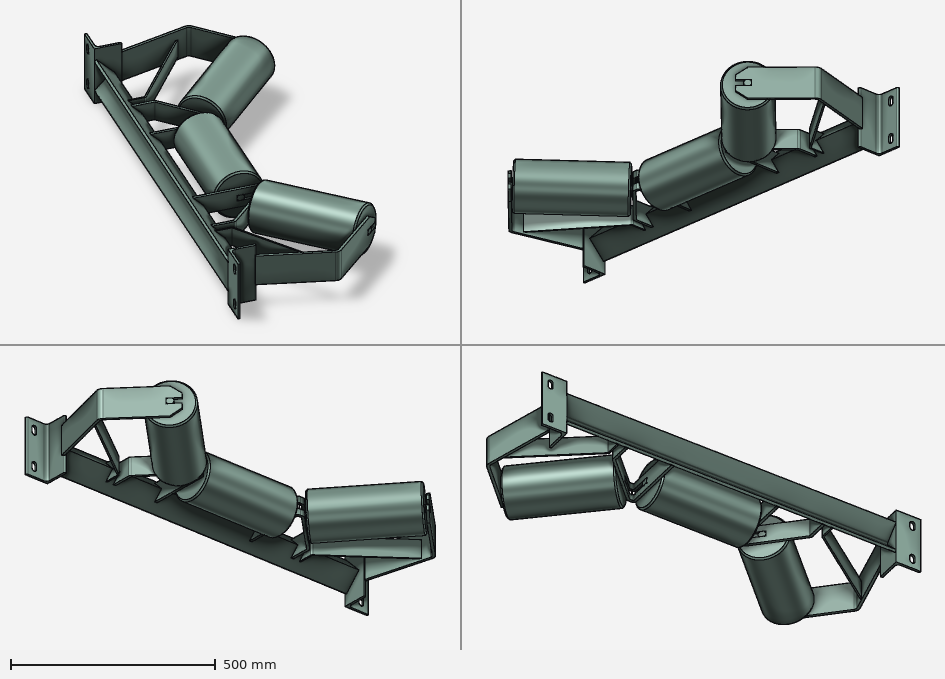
import cadquery as cq
import math


total_length = 1100.0

foot_height = 160.0
foot_leg = 72.0
foot_thickness = 7.0
foot_root_radius = 10.0
foot_toe_radius = 3.0
bolt_slot_length = 26.0
bolt_slot_width = 14.0
bolt_slot_z = 51.0
bolt_slot_inset = 24.0

beam_half_length = total_length / 2 - foot_leg
beam_leg = 67.0
beam_thickness = 8.0
beam_root_radius = 7.0
beam_corner_y = (beam_leg + beam_thickness) / math.sqrt(2)

roller_diameter = 133.0
roller_length = 288.0
roller_chamfer = 4.0
shaft_diameter = 20.0
shaft_flat_width = 15.0
center_roller_y = 151.0
side_roller_x = 308.0
side_roller_y = 280.0
side_roller_z = 5.0
trough_angle = 45.0
forward_tilt = 2.0

plate_thickness = 8.0
roller_gap = 4.0
plate_offset = roller_length / 2 + roller_gap + plate_thickness / 2
shaft_half_length = plate_offset + plate_thickness / 2
saddle_width = 52.0
saddle_bend_radius = 5.0
saddle_top_y = 204.0
saddle_leg_x = 286.0
saddle_slot_reach = 66.0
arm_width = 84.0
arm_z = 10.0
arm_bend_radius = 14.0
arm_foot_y = 68.0
arm_knee_y = 266.0
arm_lean = 14.6
arm_tip_past_shaft = 30.0
arm_tip_chamfer_length = 30.0
arm_tip_chamfer_height = 21.0
strut_thickness = 4.0
strut_width = 52.0
strut_bend_radius = 4.0
strut_leg_x = 311.0
strut_bend_y = 72.0
strut_top_y = 234.0

axis_x = math.cos(math.radians(trough_angle))
axis_y = math.sin(math.radians(trough_angle))
outer_seat_x = side_roller_x + plate_offset * axis_x
outer_seat_y = side_roller_y + plate_offset * axis_y
inner_seat_x = side_roller_x - plate_offset * axis_x
inner_seat_y = side_roller_y - plate_offset * axis_y


def place_center(body):
    """Move a body from the roller's own axes to the center roller."""
    return body.translate((0, center_roller_y, 0))


def place_side(body):
    """Move a body from the roller's own axes to the +X side roller."""
    tilted = body.rotate((0, 0, 0), (0, 1, 0), -forward_tilt)
    troughed = tilted.rotate((0, 0, 0), (0, 0, 1), trough_angle)
    return troughed.translate((side_roller_x, side_roller_y, side_roller_z))


def mirrored(body):
    return body.mirror("YZ")


def make_roller():
    """Roller along X with chamfered rims and a bore for its shaft."""
    start = cq.Workplane("YZ").workplane(offset=-roller_length / 2)
    drum = start.circle(roller_diameter / 2).extrude(roller_length)
    drum = drum.faces("<X or >X").chamfer(roller_chamfer)
    bore = start.circle(shaft_diameter / 2).extrude(roller_length)
    return drum.cut(bore)


def make_shaft():
    """Round shaft along X with two flats on each end that sticks out of the roller."""
    start = cq.Workplane("YZ").workplane(offset=-shaft_half_length)
    shaft = start.circle(shaft_diameter / 2).extrude(2 * shaft_half_length)
    flat_end_length = shaft_half_length - roller_length / 2
    end_block = cq.Workplane().box(flat_end_length, shaft_diameter, shaft_diameter)
    flat_end = cq.Workplane().box(flat_end_length, shaft_diameter, shaft_flat_width)
    waste = end_block.cut(flat_end)
    for side in (-1, 1):
        end_x = side * (shaft_half_length - flat_end_length / 2)
        shaft = shaft.cut(waste.translate((end_x, 0, 0)))
    return shaft


def make_shaft_slot(end, reach):
    """Cutter for the open slot that holds one shaft end, in the roller's own axes."""
    slot = cq.Workplane().box(
        2 * plate_thickness, shaft_diameter / 2 + reach, shaft_flat_width, centered=(True, False, True)
    )
    return slot.translate((end * plate_offset, -shaft_diameter / 2, 0))


def bent_plate(points, thickness, width, bend_radius, center_z=0.0):
    """Plate of even thickness that follows a bent center line and stands `width` tall in Z."""
    line = cq.Wire.makePolygon([cq.Vector(x, y, center_z) for x, y in points])
    line = line.fillet2D(bend_radius, line.Vertices()[1:-1])
    start = cq.Vector(*points[0], center_z)
    along = cq.Vector(*points[1], center_z) - start
    section = cq.Plane(origin=start, xDir=cq.Vector(0, 0, 1), normal=along)
    return cq.Workplane(section).rect(width, thickness).sweep(cq.Workplane(line))


def make_beam():
    """Equal angle with a rounded root, its corner pointing toward +Y."""
    angle = (
        cq.Workplane("YZ")
        .polyline(
            [
                (0, 0),
                (-beam_leg, 0),
                (-beam_leg, -beam_thickness),
                (-beam_thickness, -beam_thickness),
                (-beam_thickness, -beam_leg),
                (0, -beam_leg),
            ]
        )
        .close()
        .extrude(beam_half_length, both=True)
    )
    root = cq.selectors.NearestToPointSelector((0, -beam_thickness, -beam_thickness))
    angle = angle.edges(root).fillet(beam_root_radius)
    return angle.rotate((0, 0, 0), (1, 0, 0), -45).translate((0, beam_corner_y, 0))


def make_beam_wedge():
    """Solid wedge inside the beam's outer faces, used to trim the plates that stand on it."""
    return (
        cq.Workplane("YZ")
        .polyline([(beam_corner_y, 0), (0, beam_corner_y), (0, -beam_corner_y)])
        .close()
        .extrude(beam_half_length, both=True)
    )


def make_saddle():
    """Folded inner bracket: holds the center roller with one leg and a side roller with the other."""
    leg_foot_y = beam_corner_y - saddle_width / 2
    slope = axis_x / axis_y
    saddle = bent_plate(
        [
            (plate_offset, leg_foot_y),
            (plate_offset, saddle_top_y),
            (inner_seat_x - (saddle_top_y - inner_seat_y) / slope, saddle_top_y),
            (saddle_leg_x, inner_seat_y - (saddle_leg_x - inner_seat_x) * slope),
            (saddle_leg_x, leg_foot_y),
        ],
        plate_thickness,
        saddle_width,
        saddle_bend_radius,
    )
    saddle = saddle.cut(place_center(make_shaft_slot(1, saddle_slot_reach)))
    saddle = saddle.cut(place_side(make_shaft_slot(-1, saddle_slot_reach)))
    return saddle.cut(make_beam_wedge())


def make_foot():
    """L-shaped end foot with a rounded root, rounded toes and two bolt slots."""
    foot_inner_x = beam_half_length
    foot = (
        cq.Workplane("XY")
        .polyline(
            [
                (foot_inner_x, 0),
                (total_length / 2, 0),
                (total_length / 2, foot_thickness),
                (foot_inner_x + foot_thickness, foot_thickness),
                (foot_inner_x + foot_thickness, foot_leg),
                (foot_inner_x, foot_leg),
            ]
        )
        .close()
        .extrude(foot_height / 2, both=True)
    )
    root = cq.selectors.NearestToPointSelector((foot_inner_x + foot_thickness, foot_thickness, 0))
    foot = foot.edges(root).fillet(foot_root_radius)
    for toe in ((total_length / 2, foot_thickness, 0), (foot_inner_x + foot_thickness, foot_leg, 0)):
        foot = foot.edges(cq.selectors.NearestToPointSelector(toe)).fillet(foot_toe_radius)
    slots = (
        cq.Workplane("XZ")
        .pushPoints([(total_length / 2 - bolt_slot_inset, z) for z in (-bolt_slot_z, bolt_slot_z)])
        .slot2D(bolt_slot_length, bolt_slot_width, 90)
        .extrude(2 * foot_thickness, both=True)
    )
    return foot.cut(slots)


arm_knee_x = outer_seat_x + (outer_seat_y - arm_knee_y) * axis_y / axis_x
arm_tip_x = outer_seat_x - arm_tip_past_shaft * axis_y
arm_tip_y = outer_seat_y + arm_tip_past_shaft * axis_x


def arm_leg_x(y):
    """X of the leaning leg's center line at height y."""
    return arm_knee_x - (arm_knee_y - y) * math.tan(math.radians(arm_lean))


def make_arm():
    """Outer bracket: leaning leg, knee, and an upper part with a slotted, chamfered tip."""
    arm = bent_plate(
        [(arm_leg_x(arm_foot_y), arm_foot_y), (arm_knee_x, arm_knee_y), (arm_tip_x, arm_tip_y)],
        plate_thickness,
        arm_width,
        arm_bend_radius,
        arm_z,
    )
    half_width = arm_width / 2
    tip_plane = cq.Plane(
        origin=(arm_tip_x, arm_tip_y, arm_z), xDir=(-axis_y, axis_x, 0), normal=(axis_x, axis_y, 0)
    )
    for side in (-1, 1):
        corner = (
            cq.Workplane(tip_plane)
            .polyline(
                [
                    (0, side * half_width),
                    (-arm_tip_chamfer_length, side * half_width),
                    (0, side * (half_width - arm_tip_chamfer_height)),
                ]
            )
            .close()
            .extrude(plate_thickness, both=True)
        )
        arm = arm.cut(corner)
    return arm.cut(place_side(make_shaft_slot(1, 2 * arm_tip_past_shaft)))


def make_strut():
    """Thin brace from the beam up to the arm's leaning leg."""
    strut = bent_plate(
        [
            (strut_leg_x, beam_corner_y - strut_width / 2),
            (strut_leg_x, strut_bend_y),
            (arm_leg_x(strut_top_y), strut_top_y),
        ],
        strut_thickness,
        strut_width,
        strut_bend_radius,
    )
    return strut.cut(make_beam_wedge())


def make_cross_frame():
    """Beam with both saddles welded on."""
    saddle = make_saddle()
    return make_beam().union(saddle).union(mirrored(saddle))


def make_end_stand():
    """Foot, arm and strut welded into one piece."""
    return make_foot().union(make_arm()).union(make_strut())


cross_frame = make_cross_frame()

end_stand = make_end_stand()
end_stands = [end_stand, mirrored(end_stand)]

rollers = []
shafts = []
for bodies, body in ((rollers, make_roller()), (shafts, make_shaft())):
    side_body = place_side(body)
    bodies.extend([place_center(body), side_body, mirrored(side_body)])

result = cq.Compound.makeCompound(
    [body.val() for body in [cross_frame, *end_stands, *rollers, *shafts]]
)